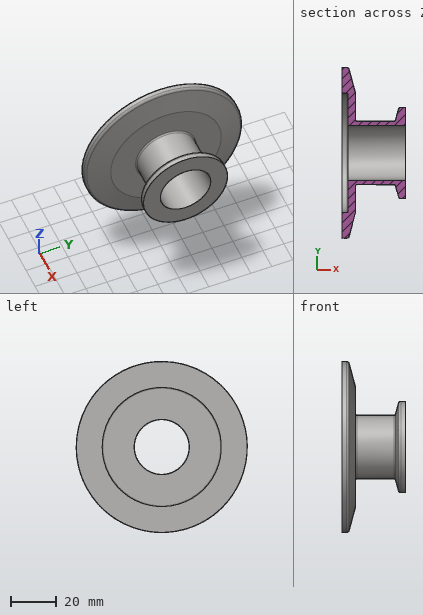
import cadquery as cq
import math

length = 28.0
large_radius = 37.5
small_radius = 20.0
tube_radius = 13.95
bore_radius = 12.0

rim_width = 3.0
cone_angle = math.radians(15)
large_flange_width = 6.0
rim_fillet = 1.2
neck_fillet = 0.6

recess_radius = 26.1
recess_depth = 2.6
recess_fillet = 0.3

cone_end_radius = large_radius - (large_flange_width - rim_width) / math.tan(cone_angle)
small_cone_width = (small_radius - tube_radius) * math.tan(cone_angle)
small_rim_x = length - rim_width
small_cone_x = small_rim_x - small_cone_width


def ring_edge(body, x, radius):
    """Select the circular edges of the given radius at axial position x."""
    tol = 0.01
    reach = radius + tol
    edges = body.edges(cq.selectors.BoxSelector(
        (x - tol, -reach, -reach), (x + tol, reach, reach), boundingbox=True))
    return edges.filter(lambda edge: edge.geomType() == "CIRCLE" and abs(edge.radius() - radius) < tol)


body = (
    cq.Workplane("XY")
    .polyline([
        (0, 0),
        (0, large_radius),
        (rim_width, large_radius),
        (large_flange_width, cone_end_radius),
        (large_flange_width, tube_radius),
        (small_cone_x, tube_radius),
        (small_rim_x, small_radius),
        (length, small_radius),
        (length, 0),
    ])
    .close()
    .revolve(360, (0, 0, 0), (1, 0, 0))
)

for rim_x, radius in [(rim_width, large_radius), (small_rim_x, small_radius)]:
    body = ring_edge(body, rim_x, radius).fillet(rim_fillet)
for neck_x in [large_flange_width, small_cone_x]:
    body = ring_edge(body, neck_x, tube_radius).fillet(neck_fillet)

recess = (
    cq.Workplane("YZ")
    .circle(recess_radius)
    .extrude(recess_depth)
    .faces(">X")
    .edges()
    .fillet(recess_fillet)
)
bore = cq.Workplane("YZ").circle(bore_radius).extrude(length)

result = body.cut(recess).cut(bore)